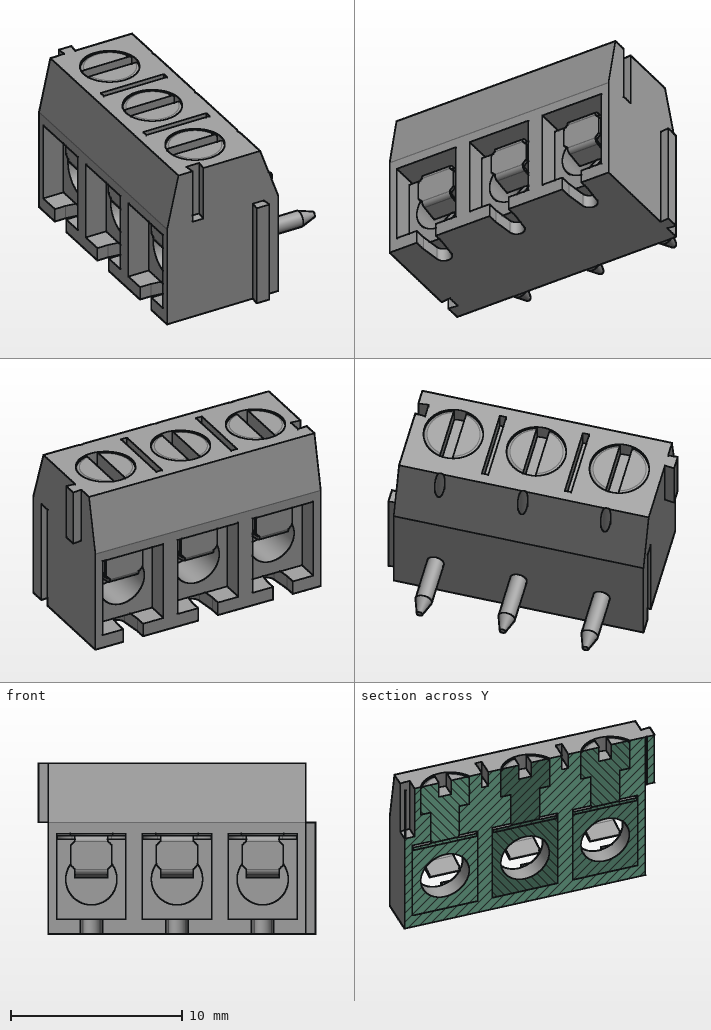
import cadquery as cq
import math


POLE_PITCH = 5.0
POLE_X = [-POLE_PITCH, 0, POLE_PITCH]
OVERALL_LENGTH = 16.2
RIB_DEPTH = 0.57
HOUSING_LENGTH = OVERALL_LENGTH - 2 * RIB_DEPTH
HOUSING_DEPTH = 7.5
HOUSING_HEIGHT = 10.0
SHOULDER_Z = 6.53
FRONT_SLOPE = 0.76
REAR_SLOPE = 1.23

DOVETAIL_ROOT = 0.73
DOVETAIL_TIP = 0.86
DOVETAIL_GROOVE_DEPTH = 0.62
UPPER_DOVETAIL_Y = 2.07
LOWER_DOVETAIL_Y = 6.14

POCKET_WIDTH = 4.05
POCKET_FLOOR_Z = 0.86
POCKET_CEILING_Z = 5.88
SLOT_WIDTH = 1.31
SLOT_END_DIAMETER = 1.0
SLOT_END_Y = 2.43
SLOT_TAPER_ANGLE = math.radians(7)

DIVIDER_WIDTH = 0.39
DIVIDER_FRONT_Y = 1.38
DIVIDER_REAR_Y = 5.64
DIVIDER_DEPTH = 1.0
VENT_DIAMETER = 0.6
VENT_Y = 6.53

SCREW_Y = 3.32
HEAD_DIAMETER = 3.5
HEAD_HEIGHT = 2.0
HEAD_FILLET = 0.2
SHANK_DIAMETER = 2.5
DRIVE_SLOT_WIDTH = 0.76
DRIVE_SLOT_DEPTH = 1.0

TERMINAL_FRONT_Y = 1.36
TERMINAL_REAR_Y = 2 * SCREW_Y - TERMINAL_FRONT_Y
TERMINAL_TOP_Z = 5.55
WIRE_BORE_DIAMETER = 3.0
WIRE_BORE_Z = 3.2
WIRE_BORE_DEPTH = 2.5
COLLAR_DIAMETER = 1.3
COLLAR_END_Y = 6.35
PIN_DIAMETER = 1.0
PIN_Z = 2.74
PIN_END_Y = 11.3
PIN_TAPER = 0.97
PIN_TIP_DIAMETER = 0.35

GUARD_TOP_Z = 5.75
GUARD_THICKNESS = GUARD_TOP_Z - TERMINAL_TOP_Z
GUARD_SEAT_WIDTH = 4.0
GUARD_SEAT_DEPTH = 3.4
GUARD_SEAT_CORNER = 0.85
GUARD_PLATE_WIDTH = 2.41
GUARD_STRIP_WIDTH = 1.91
GUARD_PLATE_CORNER = (GUARD_PLATE_WIDTH - GUARD_STRIP_WIDTH) / 2
GUARD_FRONT_Y = 1.05
GUARD_BEND_RADIUS = 0.3
GUARD_BOTTOM_Z = 3.79
GUARD_TAIL_LENGTH = 1.13
GUARD_TAIL_ANGLE = math.radians(10)


def block(x_range, y_range, z_range):
    """Box between two coordinates along each axis."""
    (x0, x1), (y0, y1), (z0, z1) = x_range, y_range, z_range
    return cq.Workplane("XY").box(x1 - x0, y1 - y0, z1 - z0, centered=False).translate((x0, y0, z0))


def upright_cylinder(diameter, y, z_bottom, z_top):
    """Vertical cylinder on the middle plane of a pole."""
    return cq.Workplane("XY", origin=(0, y, z_bottom)).circle(diameter / 2).extrude(z_top - z_bottom)


def centred(width):
    """Range of the given width, centred on zero."""
    return -width / 2, width / 2


def dovetail(x_root, y, depth, z_range):
    """Upright dovetail that widens toward +X from its root to its tip."""
    z_bottom, z_top = z_range
    return (
        cq.Workplane("XY", origin=(x_root, y, z_bottom))
        .moveTo(0, -DOVETAIL_ROOT / 2)
        .lineTo(depth, -DOVETAIL_TIP / 2)
        .lineTo(depth, DOVETAIL_TIP / 2)
        .lineTo(0, DOVETAIL_ROOT / 2)
        .close()
        .extrude(z_top - z_bottom)
    )


def floor_slot():
    """Slot through the pocket floor that tapers into a narrower round end."""
    end_radius = SLOT_END_DIAMETER / 2
    end_centre_y = SLOT_END_Y - end_radius
    wall_x = SLOT_WIDTH / 2
    tangent_x = end_radius * math.cos(SLOT_TAPER_ANGLE)
    tangent_y = end_centre_y + end_radius * math.sin(SLOT_TAPER_ANGLE)
    taper_start_y = tangent_y - (wall_x - tangent_x) / math.tan(SLOT_TAPER_ANGLE)
    return (
        cq.Workplane("XY")
        .moveTo(-wall_x, 0)
        .lineTo(wall_x, 0)
        .lineTo(wall_x, taper_start_y)
        .lineTo(tangent_x, tangent_y)
        .threePointArc((0, SLOT_END_Y), (-tangent_x, tangent_y))
        .lineTo(-wall_x, taper_start_y)
        .close()
        .extrude(POCKET_FLOOR_Z)
    )


def pin():
    """Solder pin with a tapered end and a collar at its root."""
    return (
        cq.Workplane("YZ")
        .moveTo(TERMINAL_REAR_Y, PIN_Z)
        .lineTo(TERMINAL_REAR_Y, PIN_Z + COLLAR_DIAMETER / 2)
        .lineTo(COLLAR_END_Y, PIN_Z + COLLAR_DIAMETER / 2)
        .lineTo(COLLAR_END_Y, PIN_Z + PIN_DIAMETER / 2)
        .lineTo(PIN_END_Y - PIN_TAPER, PIN_Z + PIN_DIAMETER / 2)
        .lineTo(PIN_END_Y, PIN_Z + PIN_TIP_DIAMETER / 2)
        .lineTo(PIN_END_Y, PIN_Z)
        .close()
        .revolve(360, (0, PIN_Z), (1, PIN_Z))
    )


def terminal_blank():
    """Terminal without its wire bore: a block with the pin in its rear."""
    body = block(
        centred(POCKET_WIDTH), (TERMINAL_FRONT_Y, TERMINAL_REAR_Y), (POCKET_FLOOR_Z, TERMINAL_TOP_Z)
    )
    return body.union(pin())


def screw_blank():
    """Screw envelope: head and shank, without drive slot and fillet."""
    head_bottom = HOUSING_HEIGHT - HEAD_HEIGHT
    head = upright_cylinder(HEAD_DIAMETER, SCREW_Y, head_bottom, HOUSING_HEIGHT)
    return head.union(upright_cylinder(SHANK_DIAMETER, SCREW_Y, GUARD_TOP_Z, head_bottom))


def pole_cavity():
    """Everything that one pole removes from the housing."""
    pocket = block(centred(POCKET_WIDTH), (0, TERMINAL_REAR_Y), (POCKET_FLOOR_Z, POCKET_CEILING_Z))
    vent = upright_cylinder(VENT_DIAMETER, VENT_Y, PIN_Z, HOUSING_HEIGHT)
    return pocket.union(terminal_blank()).union(floor_slot()).union(screw_blank()).union(vent)


def make_housing():
    half_length = HOUSING_LENGTH / 2
    body = (
        cq.Workplane("YZ", origin=(-half_length, 0, 0))
        .moveTo(0, 0)
        .lineTo(HOUSING_DEPTH, 0)
        .lineTo(HOUSING_DEPTH, SHOULDER_Z)
        .lineTo(HOUSING_DEPTH - REAR_SLOPE, HOUSING_HEIGHT)
        .lineTo(FRONT_SLOPE, HOUSING_HEIGHT)
        .lineTo(0, SHOULDER_Z)
        .close()
        .extrude(HOUSING_LENGTH)
    )

    upper = (SHOULDER_Z, HOUSING_HEIGHT)
    lower = (0, SHOULDER_Z)
    upper_rib = dovetail(half_length, UPPER_DOVETAIL_Y, RIB_DEPTH, upper).mirror("YZ")
    upper_groove = dovetail(half_length, UPPER_DOVETAIL_Y, DOVETAIL_GROOVE_DEPTH, upper)
    upper_groove = upper_groove.mirror("YZ", (half_length, 0, 0))
    lower_rib = dovetail(half_length, LOWER_DOVETAIL_Y, RIB_DEPTH, lower)
    lower_groove = dovetail(-half_length, LOWER_DOVETAIL_Y, DOVETAIL_GROOVE_DEPTH, lower)
    body = body.union(upper_rib).union(lower_rib).cut(upper_groove).cut(lower_groove)

    divider = block(
        centred(DIVIDER_WIDTH),
        (DIVIDER_FRONT_Y, DIVIDER_REAR_Y),
        (HOUSING_HEIGHT - DIVIDER_DEPTH, HOUSING_HEIGHT),
    )
    for left_pole_x in POLE_X[:-1]:
        body = body.cut(divider.translate((left_pole_x + POLE_PITCH / 2, 0, 0)))

    for x in POLE_X:
        body = body.cut(pole_cavity().translate((x, 0, 0)))
    return body


def make_screw():
    drive_slot = block(
        centred(DRIVE_SLOT_WIDTH),
        (SCREW_Y - HEAD_DIAMETER, SCREW_Y + HEAD_DIAMETER),
        (HOUSING_HEIGHT - DRIVE_SLOT_DEPTH, HOUSING_HEIGHT),
    )
    return screw_blank().faces(">Z").edges().fillet(HEAD_FILLET).cut(drive_slot)


def make_terminal():
    wire_bore = (
        cq.Workplane("XZ", origin=(0, TERMINAL_FRONT_Y, WIRE_BORE_Z))
        .circle(WIRE_BORE_DIAMETER / 2)
        .extrude(-WIRE_BORE_DEPTH)
    )
    return terminal_blank().cut(wire_bore)


def guard_strip():
    """Bent strip of the wire guard, from the seat down over the front and back as a tail."""
    outer = GUARD_BEND_RADIUS
    inner = GUARD_BEND_RADIUS - GUARD_THICKNESS
    bend_y = GUARD_FRONT_Y + outer
    upper_z = GUARD_TOP_Z - outer
    upper_turn = math.pi / 2
    tail_turn = math.pi / 2 - GUARD_TAIL_ANGLE

    def on_bend(centre_z, radius, angle):
        """Point on a bend; the angle is measured from straight ahead, upward positive."""
        return bend_y - radius * math.cos(angle), centre_z + radius * math.sin(angle)

    def tail_end(radius):
        """Free end of the tail, on its outer or inner side."""
        y, z = on_bend(GUARD_BOTTOM_Z, radius, -tail_turn)
        y += GUARD_TAIL_LENGTH * math.cos(GUARD_TAIL_ANGLE)
        return y, z - GUARD_TAIL_LENGTH * math.sin(GUARD_TAIL_ANGLE)

    return (
        cq.Workplane("YZ")
        .moveTo(SCREW_Y, GUARD_TOP_Z)
        .lineTo(bend_y, GUARD_TOP_Z)
        .threePointArc(on_bend(upper_z, outer, upper_turn / 2), on_bend(upper_z, outer, 0))
        .lineTo(*on_bend(GUARD_BOTTOM_Z, outer, 0))
        .threePointArc(
            on_bend(GUARD_BOTTOM_Z, outer, -tail_turn / 2), on_bend(GUARD_BOTTOM_Z, outer, -tail_turn)
        )
        .lineTo(*tail_end(outer))
        .lineTo(*tail_end(inner))
        .lineTo(*on_bend(GUARD_BOTTOM_Z, inner, -tail_turn))
        .threePointArc(
            on_bend(GUARD_BOTTOM_Z, inner, -tail_turn / 2), on_bend(GUARD_BOTTOM_Z, inner, 0)
        )
        .lineTo(*on_bend(upper_z, inner, 0))
        .threePointArc(on_bend(upper_z, inner, upper_turn / 2), (bend_y, TERMINAL_TOP_Z))
        .lineTo(SCREW_Y, TERMINAL_TOP_Z)
        .close()
        .extrude(GUARD_STRIP_WIDTH / 2, both=True)
    )


def guard_seat():
    """Plate under the screw, with rounded corners."""
    half_depth = GUARD_SEAT_DEPTH / 2
    return block(
        centred(GUARD_SEAT_WIDTH),
        (SCREW_Y - half_depth, SCREW_Y + half_depth),
        (TERMINAL_TOP_Z, GUARD_TOP_Z),
    ).edges("|Z").fillet(GUARD_SEAT_CORNER)


def make_guard():
    upper_z = GUARD_TOP_Z - GUARD_BEND_RADIUS
    plate = block(
        centred(GUARD_PLATE_WIDTH),
        (GUARD_FRONT_Y, GUARD_FRONT_Y + GUARD_THICKNESS),
        (GUARD_BOTTOM_Z, upper_z),
    )
    plate = plate.edges("|Y").chamfer(GUARD_PLATE_CORNER)
    return guard_strip().union(plate).union(guard_seat())


def at_poles(body):
    """A separate copy of the body at every pole."""
    return [body.translate((x, 0, 0)).val() for x in POLE_X]


housing = make_housing()
screws = at_poles(make_screw())
terminals = at_poles(make_terminal())
guards = at_poles(make_guard())

result = cq.Compound.makeCompound([housing.val(), *screws, *terminals, *guards])